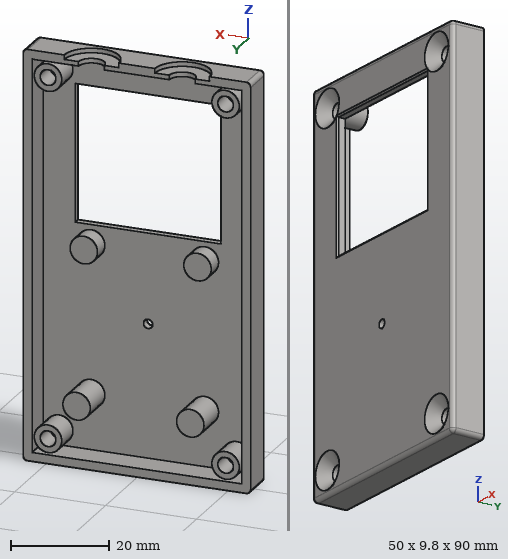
import cadquery as cq

width = 50.0
height = 90.0
depth = 8.0
wall = 2.0
floor = 2.0
edge_radius = 1.0

window_width = 32.8
window_bottom = 50.85
window_top = 81.9
window_chamfer = 0.4

screw_diameter = 3.4
screw_head_diameter = 8.5
screw_inset = 5.5
screw_boss_diameter = 6.0
countersink_depth = (screw_head_diameter - screw_diameter) / 2

pinhole_diameter = 2.0
pinhole_z = 31.3

post_diameter = 6.0
post_x = 12.5
lower_post_z = 14.3
lower_post_end = 9.8
upper_post_z = 47.1
upper_post_end = 5.9

notch_x = 10.0
notch_diameter = 5.7
notch_recess_diameter = 12.0
notch_recess_depth = 1.0


def cylinder_y(x, z, diameter, start, end):
    """Cylinder along Y between two y positions."""
    return cq.Workplane(cq.Solid.makeCylinder(
        diameter / 2, end - start, cq.Vector(x, start, z), cq.Vector(0, 1, 0)))


def cylinder_down(x, diameter, length):
    """Cylinder from the top end downwards, centred on the rim plane."""
    return cq.Workplane(cq.Solid.makeCylinder(
        diameter / 2, length, cq.Vector(x, depth, height), cq.Vector(0, 0, -1)))


def make_shell():
    """Rounded box hollowed from the rear."""
    outer = cq.Workplane("XY").box(width, depth, height, centered=(True, False, False))
    outer = outer.edges("|Y or <Y").fillet(edge_radius)
    cavity = (
        cq.Workplane("XY")
        .box(width - 2 * wall, depth - floor, height - 2 * wall, centered=(True, False, False))
        .translate((0, floor, wall))
    )
    return outer.cut(cavity)


def make_window():
    """Rectangular opening that widens towards the outer face."""
    window_height = window_top - window_bottom
    opening = (
        cq.Workplane("XY")
        .box(window_width - 2 * window_chamfer, floor, window_height - 2 * window_chamfer,
             centered=(True, False, True))
    )
    bevel = (
        cq.Workplane("XZ")
        .rect(window_width, window_height)
        .extrude(-window_chamfer, taper=45)
    )
    return opening.union(bevel).translate((0, 0, (window_top + window_bottom) / 2))


def make_screw_hole(x, z):
    """Through hole with a conical head seat in the outer face."""
    seat = cq.Workplane(cq.Solid.makeCone(
        screw_head_diameter / 2, screw_diameter / 2, countersink_depth,
        cq.Vector(x, 0, z), cq.Vector(0, 1, 0)))
    return cylinder_y(x, z, screw_diameter, 0, depth).union(seat)


result = make_shell()
screw_x = width / 2 - screw_inset
screw_positions = [
    (side * screw_x, z) for side in (-1, 1) for z in (screw_inset, height - screw_inset)
]

for side in (-1, 1):
    for post_z, post_end in ((lower_post_z, lower_post_end), (upper_post_z, upper_post_end)):
        result = result.union(cylinder_y(side * post_x, post_z, post_diameter, floor / 2, post_end))

for x, z in screw_positions:
    result = result.union(cylinder_y(x, z, screw_boss_diameter, floor / 2, depth))

result = result.cut(make_window())
result = result.cut(cylinder_y(0, pinhole_z, pinhole_diameter, 0, floor))
for x, z in screw_positions:
    result = result.cut(make_screw_hole(x, z))

for side in (-1, 1):
    result = result.cut(cylinder_down(side * notch_x, notch_recess_diameter, notch_recess_depth))
    result = result.cut(cylinder_down(side * notch_x, notch_diameter, wall))